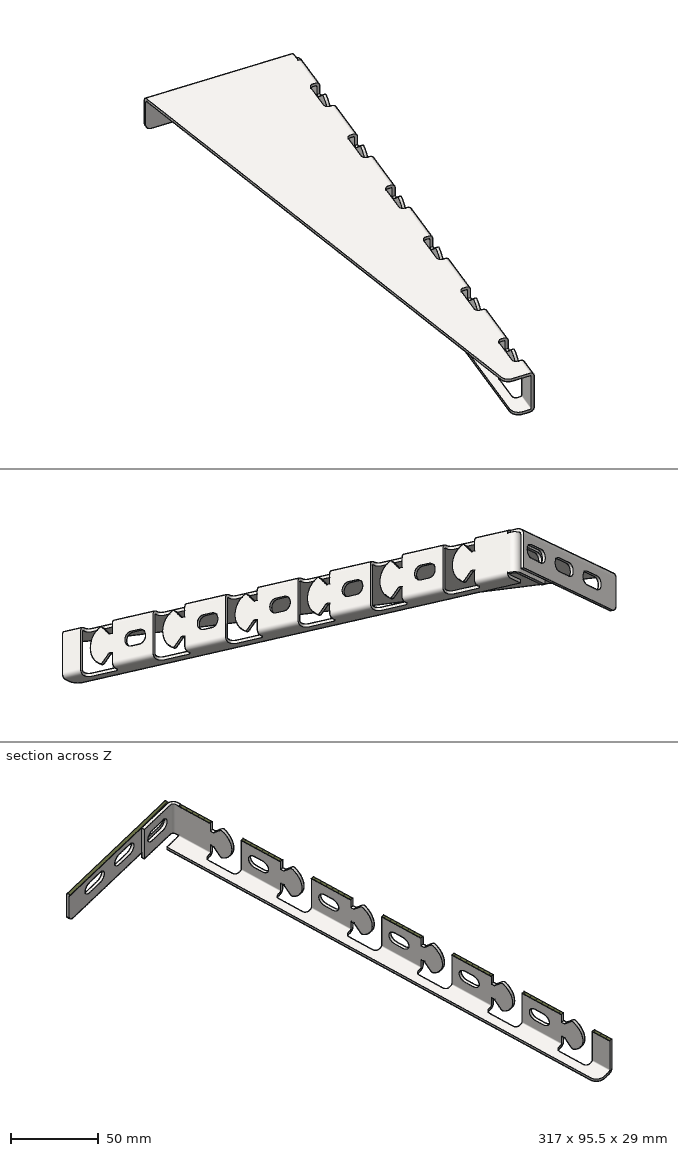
import cadquery as cq

length = 317.0
width = 95.5
height = 29.0
sheet = 2.0
mid_z = height / 2

web_bend_inner = 1.0
web_bend_outer = web_bend_inner + sheet
flange_bend_inner = 2.2
flange_bend_outer = flange_bend_inner + sheet
channel_start = 9.2

taper_end_y = 77.5
tip_corner_radius = 5.0
lip_width = 13.0
lip_corner_radius = 5.7

pitch = 50.0
window_count = 6
first_window_x = 32.0
window_length = 22.0
window_depth = 7.0
window_corner_radius = 2.5

neck_length = 2.2
neck_half_height = 5.7
shoulder_x = 7.5
shoulder_half_height = 11.5
shoulder_radius = 1.5
tongue_length = 15.2
tongue_bulge_x = 13.3
tongue_bulge_half_height = 6.5

web_slot_length = 14.3
web_slot_height = 9.0
first_web_slot_x = 66.3

flange_bottom_z = 4.5
flange_back_y = width - web_bend_outer
flange_corner_radius = 3.8
flange_slot_count = 3
flange_slot_length = 18.0
flange_slot_height = 8.2
flange_slot_z = 16.5
flange_slot_pitch = 28.0
last_flange_slot_y = 80.0

tab_front_y = 67.0
tab_bend_inner = 2.2
tab_bend_outer = tab_bend_inner + sheet
tab_gap = 1.0
tab_height = 24.0
tab_slot_y = 79.2
tab_slot_z = 15.5


def block(x0, x1, y0, y1, z0, z1):
    return cq.Workplane("XY").box(x1 - x0, y1 - y0, z1 - z0, centered=False).translate((x0, y0, z0))


def channel():
    """C-section open towards -Y, its web at the back."""
    outside = block(0, length, 0, width, 0, height).edges("|X and >Y").fillet(web_bend_outer)
    inside = block(0, length, 0, width - sheet, sheet, height - sheet)
    return outside.cut(inside.edges("|X and >Y").fillet(web_bend_inner))


def top_plate_outline():
    """Tapering outline of the top plate, notched at the back left corner."""
    points = [
        (flange_bend_outer, 0),
        (length, taper_end_y),
        (length, width),
        (channel_start, width),
        (channel_start, flange_back_y),
        (flange_bend_outer, flange_back_y),
    ]
    plate = cq.Workplane("XY").polyline(points).close().extrude(web_bend_outer)
    plate = plate.edges("|Z and >X").edges("<Y").fillet(tip_corner_radius)
    return plate.translate((0, 0, height - web_bend_outer))


def lip_outline():
    lip = block(channel_start, length, width - lip_width, width, 0, web_bend_outer)
    return lip.edges("|Z and >X and <Y").fillet(lip_corner_radius)


def web_outline():
    front_y = width - web_bend_outer
    return block(channel_start, length, front_y, width, web_bend_outer, height - web_bend_outer)


def window(x):
    cutter = block(x, x + window_length, width - window_depth, width, 0, height)
    return cutter.edges("|Z and <Y").fillet(window_corner_radius)


def tongue(x):
    """Flat arrowhead that reaches into a window from its left side."""
    outline = (
        cq.Workplane("XZ")
        .moveTo(0, -neck_half_height)
        .lineTo(neck_length, -neck_half_height)
        .lineTo(shoulder_x, -shoulder_half_height)
        .threePointArc((tongue_bulge_x, -tongue_bulge_half_height), (tongue_length, 0))
        .threePointArc((tongue_bulge_x, tongue_bulge_half_height), (shoulder_x, shoulder_half_height))
        .lineTo(neck_length, neck_half_height)
        .lineTo(0, neck_half_height)
        .close()
        .extrude(sheet)
    )
    for side in (">Z", "<Z"):
        outline = outline.edges("|Y").edges(side).fillet(shoulder_radius)
    return outline.translate((x, width, mid_z))


def web_slots():
    centres = [(first_web_slot_x + i * pitch, mid_z) for i in range(window_count - 1)]
    slots = cq.Workplane("XZ").pushPoints(centres).slot2D(web_slot_length, web_slot_height)
    return slots.extrude(-width)


def end_flange():
    """Flange bent down from the left end of the top plate."""
    outside = block(0, channel_start, 0, flange_back_y, flange_bottom_z, height)
    outside = outside.edges("|Y and <X and >Z").fillet(flange_bend_outer)
    inside = block(sheet, channel_start, 0, flange_back_y, flange_bottom_z, height - sheet)
    inside = inside.edges("|Y and <X and >Z").fillet(flange_bend_inner)
    bend_limit = block(0, flange_bend_outer, 0, flange_back_y, flange_bottom_z, height)
    flange = outside.cut(inside).intersect(bend_limit)
    flange = flange.edges("|X and <Y and <Z").fillet(flange_corner_radius)
    centres = [(last_flange_slot_y - i * flange_slot_pitch, flange_slot_z) for i in range(flange_slot_count)]
    slots = cq.Workplane("YZ").pushPoints(centres).slot2D(flange_slot_length, flange_slot_height)
    return flange.cut(slots.extrude(sheet))


def return_tab():
    """Tab bent forwards from the left end of the web, a small gap behind the end flange."""
    outer_x = sheet + tab_gap
    inner_x = outer_x + sheet
    bottom_z = mid_z - tab_height / 2
    top_z = mid_z + tab_height / 2
    outside = block(outer_x, channel_start, tab_front_y, width, bottom_z, top_z)
    outside = outside.edges("|Z and <X and >Y").fillet(tab_bend_outer)
    inside = block(inner_x, channel_start, tab_front_y, width - sheet, bottom_z, top_z)
    inside = inside.edges("|Z and <X and >Y").fillet(tab_bend_inner)
    slot = cq.Workplane("YZ").center(tab_slot_y, tab_slot_z)
    slot = slot.slot2D(flange_slot_length, flange_slot_height).extrude(inner_x)
    return outside.cut(inside).cut(slot)


sheet_area = top_plate_outline().union(lip_outline()).union(web_outline())
result = channel().intersect(sheet_area)
for index in range(window_count):
    window_x = first_window_x + index * pitch
    result = result.cut(window(window_x)).union(tongue(window_x))
result = result.cut(web_slots()).union(end_flange()).union(return_tab())